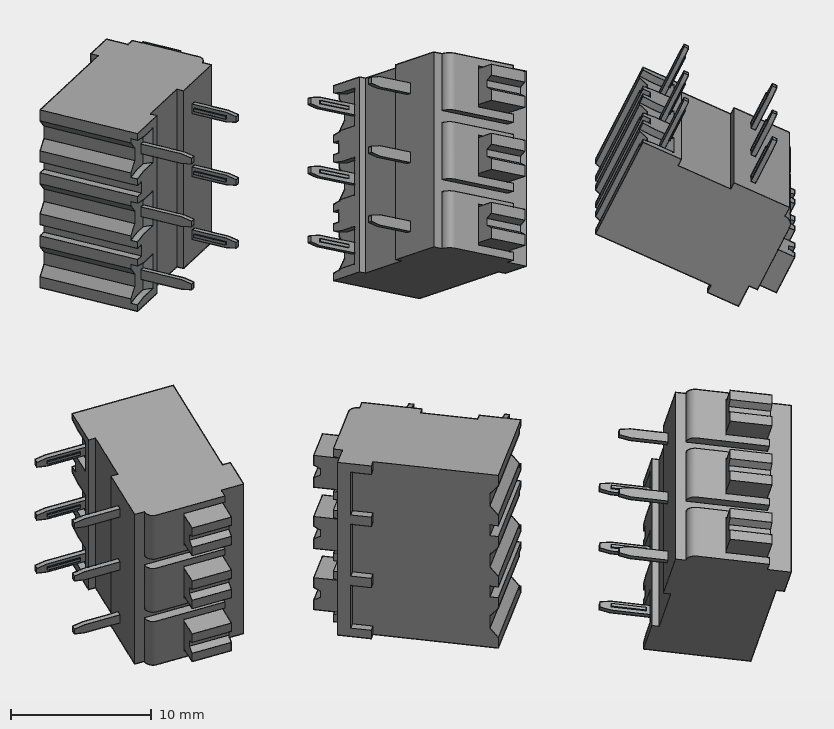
import cadquery as cq


POLE_PITCH = 5.08
TOTAL_HEIGHT = 14.36
POLE_CENTRES = [-POLE_PITCH, 0.0, POLE_PITCH]
POLE_HEIGHT = TOTAL_HEIGHT - 2 * POLE_PITCH
POLE_GAP = POLE_PITCH - POLE_HEIGHT

FLANGE_THICKNESS = 0.6
HOUSING_END_X = 8.39
FLANGE_TOP_Y = 11.55

FLANGE_BAND = 0.96
COMB_LENGTH = 2.45
END_TAB_HEIGHT = 0.7
MIDDLE_TAB_HEIGHT = 0.78

GROOVE_DEPTH = 0.6
GROOVE_MOUTH = 2.43
GROOVE_FLOOR = 1.0

LUG_START_X = 1.72
LUG_END_X = 7.64
LUG_RISE = 0.66
LUG_TOP_Y = FLANGE_TOP_Y + LUG_RISE

RECESS_WIDTH = 2.77
RECESS_MOUTH = 3.02
RECESS_FLARE_DEPTH = 0.33

BUTTON_START_X = 1.82
BUTTON_END_X = 4.85
BUTTON_TOP_Y = 13.65
BUTTON_WIDTH = 2.65
BUTTON_NOTCH_DEPTH = 0.49
BUTTON_NOTCH_MOUTH = 1.05
BUTTON_NOTCH_FLOOR = 0.5

END_CUT_DEPTH = 0.53
END_CUT_X = HOUSING_END_X - END_CUT_DEPTH
NOTCH_START_Y = 3.03
NOTCH_END_Y = 7.17
POCKET_WIDTH = RECESS_WIDTH
POCKET_MOUTH = 3.13
POCKET_FLARE_DEPTH = 0.93

PIN_TIP_X = 11.9
PIN_TAPER_X = 11.11
PIN_THICKNESS = 0.36
PIN_WIDTH = 0.78
PIN_TIP_WIDTH = 0.46
LOWER_PIN_Y = 1.55
UPPER_PIN_Y = 8.5
PIN_PAD_START_X = 8.57
PIN_PAD_RISE = 0.11
PIN_PAD_WIDTH = 0.23


def block(x_range, y_range, z_range):
    """Axis-aligned box between the given limits."""
    (x0, x1), (y0, y1), (z0, z1) = x_range, y_range, z_range
    return cq.Workplane("XY").box(x1 - x0, y1 - y0, z1 - z0, centered=False).translate((x0, y0, z0))


def centred_block(x_range, y_range, z_centre, height):
    """Axis-aligned box whose height is centred on z_centre."""
    return block(x_range, y_range, (z_centre - height / 2, z_centre + height / 2))


def symmetric_bar(x_range, half_profile, z_centre):
    """Bar along X; half_profile lists (y, half height) and is mirrored about z_centre."""
    upper = [(y, z_centre + half) for y, half in half_profile]
    lower = [(y, z_centre - half) for y, half in reversed(half_profile)]
    x0, x1 = x_range
    return cq.Workplane("YZ").polyline(upper + lower).close().extrude(x1 - x0).translate((x0, 0, 0))


def make_housing():
    """Plain body with the comb-shaped flange on its -X face."""
    full_height = (-TOTAL_HEIGHT / 2, TOTAL_HEIGHT / 2)
    flange_x = (0, FLANGE_THICKNESS)
    tab_y = (FLANGE_TOP_Y - COMB_LENGTH, FLANGE_TOP_Y)
    housing = block((FLANGE_THICKNESS, HOUSING_END_X), (0, FLANGE_TOP_Y), full_height)
    housing = housing.union(block(flange_x, (FLANGE_TOP_Y - FLANGE_BAND, FLANGE_TOP_Y), full_height))
    for side in (-1, 1):
        end_centre = side * (TOTAL_HEIGHT - END_TAB_HEIGHT) / 2
        housing = housing.union(centred_block(flange_x, tab_y, end_centre, END_TAB_HEIGHT))
        middle_centre = side * POLE_PITCH / 2
        housing = housing.union(centred_block(flange_x, tab_y, middle_centre, MIDDLE_TAB_HEIGHT))
    return housing


def make_lug(z_centre):
    """Lug with a rounded +X corner and a flared recess for the button."""
    lug = centred_block((LUG_START_X, LUG_END_X), (FLANGE_TOP_Y, LUG_TOP_Y), z_centre, POLE_HEIGHT)
    corner_centre_x = LUG_END_X - LUG_RISE
    corner_square = centred_block(
        (corner_centre_x, LUG_END_X), (FLANGE_TOP_Y, LUG_TOP_Y), z_centre, POLE_HEIGHT
    )
    corner_round = (
        cq.Workplane("XY")
        .center(corner_centre_x, FLANGE_TOP_Y)
        .circle(LUG_RISE)
        .extrude(POLE_HEIGHT)
        .translate((0, 0, z_centre - POLE_HEIGHT / 2))
    )
    recess = symmetric_bar(
        (LUG_START_X, BUTTON_END_X),
        [
            (FLANGE_TOP_Y, RECESS_WIDTH / 2),
            (LUG_TOP_Y - RECESS_FLARE_DEPTH, RECESS_WIDTH / 2),
            (LUG_TOP_Y, RECESS_MOUTH / 2),
        ],
        z_centre,
    )
    return lug.cut(corner_square.cut(corner_round)).cut(recess)


def make_button(z_centre):
    """Release button with a tapered notch along its outer face."""
    button_x = (BUTTON_START_X, BUTTON_END_X)
    button = centred_block(button_x, (FLANGE_TOP_Y, BUTTON_TOP_Y), z_centre, BUTTON_WIDTH)
    notch = symmetric_bar(
        button_x,
        [
            (BUTTON_TOP_Y - BUTTON_NOTCH_DEPTH, BUTTON_NOTCH_FLOOR / 2),
            (BUTTON_TOP_Y, BUTTON_NOTCH_MOUTH / 2),
        ],
        z_centre,
    )
    return button.cut(notch)


def make_wire_groove(z_centre):
    """Trapezoidal groove in the -Y face of a pole."""
    return symmetric_bar(
        (FLANGE_THICKNESS, HOUSING_END_X),
        [(0, GROOVE_MOUTH / 2), (GROOVE_DEPTH, GROOVE_FLOOR / 2)],
        z_centre,
    )


def make_pin_pocket(z_centre):
    """Pocket in the -Y, +X corner: flared at its mouth, with a 45 degree floor behind the pin."""
    floor_start_y = LOWER_PIN_Y + PIN_THICKNESS
    floor_end_y = floor_start_y + END_CUT_DEPTH
    pocket = symmetric_bar(
        (END_CUT_X, HOUSING_END_X),
        [
            (0, POCKET_MOUTH / 2),
            (POCKET_FLARE_DEPTH, POCKET_WIDTH / 2),
            (floor_end_y, POCKET_WIDTH / 2),
        ],
        z_centre,
    )
    floor_wedge = (
        cq.Workplane("XY")
        .polyline([(END_CUT_X, floor_start_y), (HOUSING_END_X, floor_end_y), (END_CUT_X, floor_end_y)])
        .close()
        .extrude(POCKET_WIDTH)
        .translate((0, 0, z_centre - POCKET_WIDTH / 2))
    )
    return pocket.cut(floor_wedge)


def make_pin(y_start, z_centre, pad_side):
    """Flat pin with a tapered tip and a raised pad on its +Y (1) or -Y (-1) face."""
    upper = [
        (END_CUT_X, PIN_WIDTH / 2),
        (PIN_TAPER_X, PIN_WIDTH / 2),
        (PIN_TIP_X, PIN_TIP_WIDTH / 2),
    ]
    lower = [(x, -z) for x, z in reversed(upper)]
    y_middle = y_start + PIN_THICKNESS / 2
    pin = (
        cq.Workplane("XZ")
        .polyline(upper + lower)
        .close()
        .extrude(PIN_THICKNESS / 2, both=True)
        .translate((0, y_middle, z_centre))
    )
    pad_edge_y = y_middle + pad_side * (PIN_THICKNESS / 2 + PIN_PAD_RISE)
    pad_y = sorted((y_middle, pad_edge_y))
    return pin.union(centred_block((PIN_PAD_START_X, PIN_TAPER_X), pad_y, z_centre, PIN_PAD_WIDTH))


result = make_housing()

for side in (-1, 1):
    gap = centred_block((FLANGE_THICKNESS, HOUSING_END_X), (0, GROOVE_DEPTH), side * POLE_PITCH / 2, POLE_GAP)
    result = result.cut(gap)

result = result.cut(
    centred_block((END_CUT_X, HOUSING_END_X), (NOTCH_START_Y, NOTCH_END_Y), 0, TOTAL_HEIGHT)
)

for pole_z in POLE_CENTRES:
    result = result.cut(make_wire_groove(pole_z)).cut(make_pin_pocket(pole_z))
    result = result.union(make_lug(pole_z)).union(make_button(pole_z))
    result = result.union(make_pin(LOWER_PIN_Y, pole_z, 1)).union(make_pin(UPPER_PIN_Y, pole_z, -1))